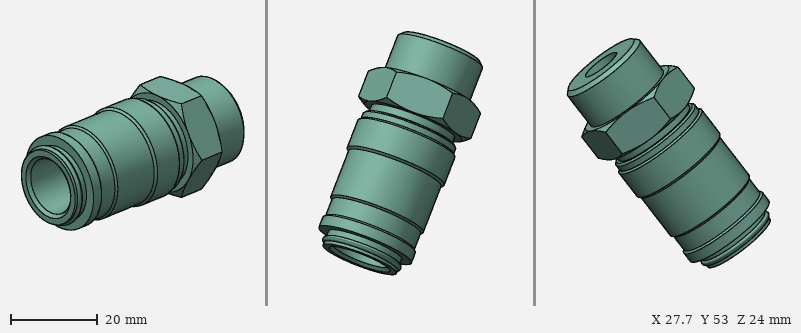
import cadquery as cq
import math

length = 53.0

lip_radius = 9.05
bead_radius = 0.7
bead_center_radius = 8.95
bead_station = 1.45

sleeve_start = 3.55
sleeve_radius = 11.45
sleeve_end = 32.6
edge_chamfer = 0.5
groove_radius = sleeve_radius - edge_chamfer
groove_start = 6.55
groove_end = 10.75
band_start = 22.75
band_end = 30.7

neck_radius = 10.3
hex_start = 34.5
hex_end = 43.0
hex_across_flats = 24.0
hex_chamfer_angle = 30.0

band_radius = hex_across_flats / 2
band_step = band_radius - sleeve_radius
thread_radius = 10.5
thread_chamfer = 1.0

through_radius = 4.5
socket_radius = 6.75
socket_depth = hex_start
socket_chamfer = 0.8


def revolve_profile(points):
    """Revolve an outline of (radius, station) points about the Y axis."""
    outline = cq.Workplane("XY").polyline(points).close()
    return outline.revolve(360, (0, 0, 0), (0, 1, 0))


def make_turned_body():
    return revolve_profile([
        (0, 0),
        (lip_radius, 0),
        (lip_radius, sleeve_start),
        (sleeve_radius, sleeve_start),
        (sleeve_radius, groove_start - edge_chamfer),
        (groove_radius, groove_start),
        (groove_radius, groove_end),
        (sleeve_radius, groove_end + edge_chamfer),
        (sleeve_radius, band_start),
        (band_radius, band_start + band_step),
        (band_radius, band_end - edge_chamfer),
        (band_radius - edge_chamfer, band_end),
        (sleeve_radius, band_end),
        (sleeve_radius, sleeve_end - edge_chamfer),
        (sleeve_radius - edge_chamfer, sleeve_end),
        (neck_radius, sleeve_end),
        (neck_radius, hex_start),
        (thread_radius, hex_start),
        (thread_radius, length - thread_chamfer),
        (thread_radius - thread_chamfer, length),
        (0, length),
    ])


def make_bead():
    section = cq.Workplane("XY").center(bead_center_radius, bead_station).circle(bead_radius)
    return section.revolve(360, (-bead_center_radius, 0, 0), (-bead_center_radius, 1, 0))


def make_hexagon():
    """Hexagon with corners on the X axis and conical chamfers on both ends."""
    flat_radius = hex_across_flats / 2
    corner_radius = flat_radius / math.cos(math.pi / 6)
    chamfer_drop = (corner_radius - flat_radius) * math.tan(math.radians(hex_chamfer_angle))
    prism = (
        cq.Workplane("XZ", origin=(0, hex_start, 0))
        .polygon(6, 2 * corner_radius)
        .extrude(hex_start - hex_end)
    )
    chamfer_envelope = revolve_profile([
        (0, hex_start),
        (flat_radius, hex_start),
        (corner_radius, hex_start + chamfer_drop),
        (corner_radius, hex_end - chamfer_drop),
        (flat_radius, hex_end),
        (0, hex_end),
    ])
    return prism.intersect(chamfer_envelope)


def make_bore():
    return revolve_profile([
        (0, 0),
        (socket_radius + socket_chamfer, 0),
        (socket_radius, socket_chamfer),
        (socket_radius, socket_depth),
        (through_radius, socket_depth),
        (through_radius, length),
        (0, length),
    ])


solid_body = make_turned_body().union(make_bead()).union(make_hexagon())
result = solid_body.cut(make_bore()).translate((0, -length / 2, 0))